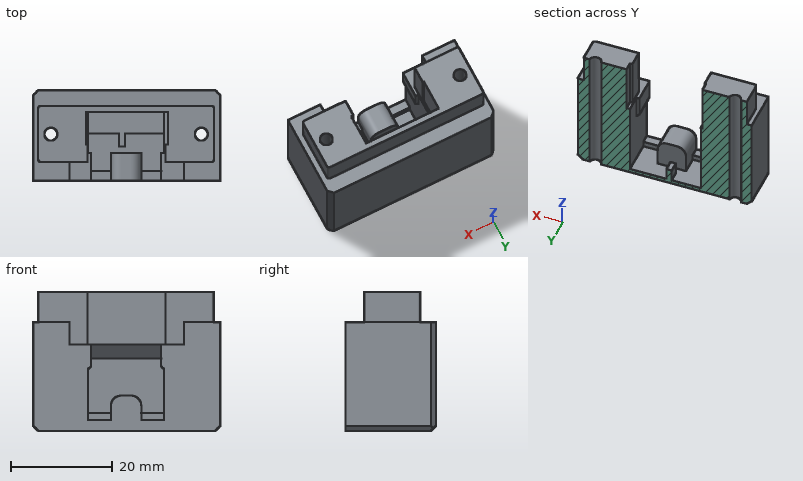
import cadquery as cq

BODY_WIDTH = 37.0
BODY_DEPTH = 17.9
BODY_HEIGHT = 21.5
BODY_CHAMFER = 1.05

TOTAL_HEIGHT = 27.5
CENTRE_X = 18.37
TOWER_WIDTH = 34.7
TOWER_FRONT = 3.7
TOWER_BACK = 14.8
TOWER_CORNER_RADIUS = 0.5

HOLE_DIAMETER = 2.5
HOLE_SPACING = 29.7
HOLE_Y = 9.2

NOTCH_WIDTH = 22.6
NOTCH_FLOOR = 17.1

UPPER_LEFT = 10.5
UPPER_RIGHT = 26.6
UPPER_BACK = 13.55
UPPER_STEP_Y = 7.15
MOUTH_LEFT = 10.75
MOUTH_RIGHT = 26.1

CAVITY_WIDTH = 15.0
CAVITY_BACK = 16.35
CAVITY_FLOOR = 1.0

LIP_OPENING = 13.8
LIP_DEPTH = 5.5
LIP_BOTTOM = 12.2

SHELF_TOP = 3.6
SHELF_FRONT = 9.35
TAB_LEFT = 17.0
TAB_WIDTH = 1.15
TAB_FRONT = 6.8

SILL_TOP = 2.2
SILL_DEPTH = 1.9

HUMP_WIDTH = 6.0
HUMP_TOP = 7.0
HUMP_DEPTH = 5.5
HUMP_RADIUS = 2.0


def block(x_range, y_range, z_range):
    """Axis-aligned box between pairs of limits."""
    (x0, x1), (y0, y1), (z0, z1) = x_range, y_range, z_range
    return cq.Workplane("XY").box(x1 - x0, y1 - y0, z1 - z0, centered=False).translate((x0, y0, z0))


def span(width, centre=CENTRE_X):
    """Limits of a width placed symmetrically about a centre."""
    return (centre - width / 2, centre + width / 2)


def make_body():
    """Block whose 45 degree chamfers run straight through where they meet at the back corners."""
    right_cut = BODY_WIDTH - BODY_CHAMFER
    back_cut = BODY_DEPTH - BODY_CHAMFER
    plan = [
        (0, 0),
        (BODY_WIDTH, 0),
        (BODY_WIDTH, back_cut),
        (right_cut, BODY_DEPTH),
        (BODY_CHAMFER, BODY_DEPTH),
        (0, back_cut),
    ]
    front = [
        (BODY_CHAMFER, 0),
        (right_cut, 0),
        (BODY_WIDTH, BODY_CHAMFER),
        (BODY_WIDTH, BODY_HEIGHT),
        (0, BODY_HEIGHT),
        (0, BODY_CHAMFER),
    ]
    side = [
        (0, 0),
        (back_cut, 0),
        (BODY_DEPTH, BODY_CHAMFER),
        (BODY_DEPTH, BODY_HEIGHT),
        (0, BODY_HEIGHT),
    ]
    body = cq.Workplane("XY").polyline(plan).close().extrude(BODY_HEIGHT)
    body = body.intersect(cq.Workplane("XZ").polyline(front).close().extrude(-BODY_DEPTH))
    return body.intersect(cq.Workplane("YZ").polyline(side).close().extrude(BODY_WIDTH))


def make_tower():
    tower = block(span(TOWER_WIDTH), (TOWER_FRONT, TOWER_BACK), (NOTCH_FLOOR, TOTAL_HEIGHT))
    return tower.edges("|Z").fillet(TOWER_CORNER_RADIUS)


def make_notch():
    return block(span(NOTCH_WIDTH, BODY_WIDTH / 2), (0, TOWER_FRONT), (NOTCH_FLOOR, BODY_HEIGHT))


def make_upper_pocket():
    z_range = (NOTCH_FLOOR, TOTAL_HEIGHT)
    pocket = block((UPPER_LEFT, UPPER_RIGHT), (UPPER_STEP_Y, UPPER_BACK), z_range)
    mouth = block((MOUTH_LEFT, MOUTH_RIGHT), (TOWER_FRONT, UPPER_STEP_Y), z_range)
    return pocket.union(mouth)


def make_lower_cavity():
    left = span(CAVITY_WIDTH)[0]
    overhang_bottom = NOTCH_FLOOR - (CAVITY_BACK - UPPER_BACK)
    profile = [
        (0, CAVITY_FLOOR),
        (CAVITY_BACK, CAVITY_FLOOR),
        (CAVITY_BACK, overhang_bottom),
        (UPPER_BACK, NOTCH_FLOOR),
        (0, NOTCH_FLOOR),
    ]
    return cq.Workplane("YZ", origin=(left, 0, 0)).polyline(profile).close().extrude(CAVITY_WIDTH)


def make_lip(side):
    """Lip on one side of the opening (-1 left, 1 right), with a 45 degree underside."""
    outer = CENTRE_X + side * CAVITY_WIDTH / 2
    inner = CENTRE_X + side * LIP_OPENING / 2
    inner_bottom = LIP_BOTTOM + abs(outer - inner)
    profile = [
        (outer, LIP_BOTTOM),
        (inner, inner_bottom),
        (inner, NOTCH_FLOOR),
        (outer, NOTCH_FLOOR),
    ]
    return cq.Workplane("XZ").polyline(profile).close().extrude(-LIP_DEPTH)


def make_shelf():
    z_range = (CAVITY_FLOOR, SHELF_TOP)
    shelf = block(span(CAVITY_WIDTH), (SHELF_FRONT, CAVITY_BACK), z_range)
    tab = block((TAB_LEFT, TAB_LEFT + TAB_WIDTH), (TAB_FRONT, SHELF_FRONT), z_range)
    return shelf.union(tab)


def make_sill():
    return block(span(CAVITY_WIDTH), (0, SILL_DEPTH), (CAVITY_FLOOR, SILL_TOP))


def make_hump():
    hump = block(span(HUMP_WIDTH), (0, HUMP_DEPTH), (CAVITY_FLOOR, HUMP_TOP))
    return hump.edges("|Y and >Z").fillet(HUMP_RADIUS)


def make_screw_holes():
    centres = [(x, HOLE_Y) for x in span(HOLE_SPACING)]
    return cq.Workplane("XY").pushPoints(centres).circle(HOLE_DIAMETER / 2).extrude(TOTAL_HEIGHT)


result = make_body().cut(make_notch()).union(make_tower())
for opening in (make_upper_pocket(), make_lower_cavity(), make_screw_holes()):
    result = result.cut(opening)
for inner_feature in (make_lip(-1), make_lip(1), make_shelf(), make_sill(), make_hump()):
    result = result.union(inner_feature)